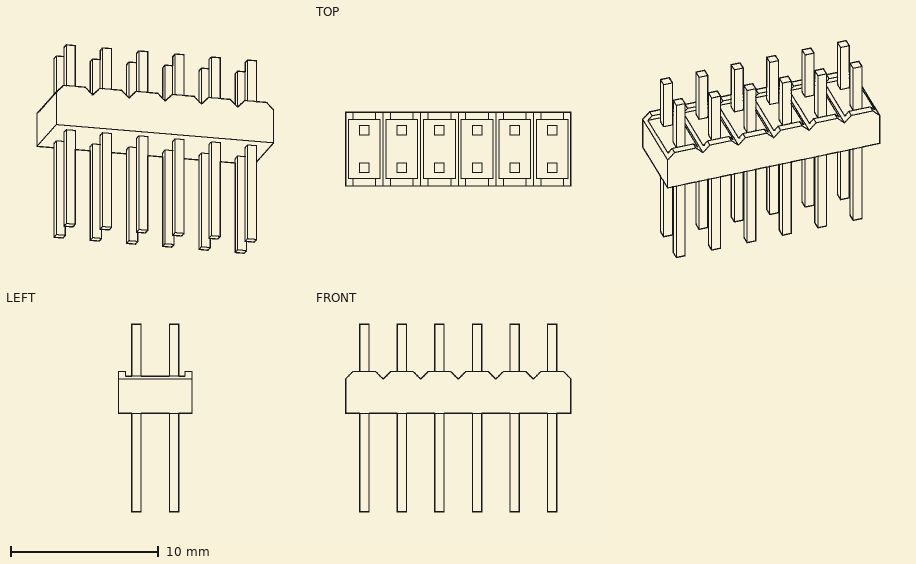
import cadquery as cq

pin_columns = 6
pin_rows = 2
body_length = 15.24
body_width = 5.0
body_height = 2.83
pitch = body_length / pin_columns

pin_side = 0.64
pin_length = 12.7
pin_above_body = 3.2
pin_top = body_height + pin_above_body

notch_depth = 0.5
channel_depth = 0.3
channel_wall = 0.5


def column_center(column):
    """X position of a pin column, with the body centred on the origin."""
    return (column - (pin_columns - 1) / 2) * pitch


def body_outline():
    """Closed X-Z outline: flat bottom and one chamfered crest per column."""
    half_length = body_length / 2
    half_crest = pitch / 2 - notch_depth
    valley_height = body_height - notch_depth
    points = [(half_length, 0), (-half_length, 0), (-half_length, valley_height)]
    for column in range(pin_columns):
        center = column_center(column)
        points.append((center - half_crest, body_height))
        points.append((center + half_crest, body_height))
        points.append((center + pitch / 2, valley_height))
    return points


def make_body():
    """Notched body with the crests lowered between two side walls."""
    block = cq.Workplane("XZ").polyline(body_outline()).close().extrude(body_width / 2, both=True)
    channel_width = body_width - 2 * channel_wall
    channel = (
        cq.Workplane("XY")
        .workplane(offset=body_height - channel_depth)
        .rect(body_length, channel_width)
        .extrude(channel_depth)
    )
    return block.cut(channel)


def make_pins():
    """Grid of straight square pins passing through the body."""
    return (
        cq.Workplane("XY")
        .workplane(offset=pin_top - pin_length)
        .rarray(pitch, pitch, pin_columns, pin_rows)
        .rect(pin_side, pin_side)
        .extrude(pin_length)
    )


result = make_body().union(make_pins())